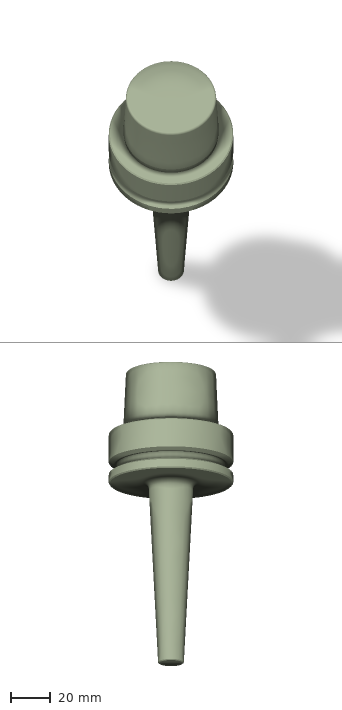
import cadquery as cq

length = 151.9

taper_top_radius = 22.8
taper_base_radius = 24.2
taper_length = 29.3
taper_edge_radius = 1.2
relief_radius = 23.8
relief_step = 0.3

flange_diameter = 63.0
flange_radius = flange_diameter / 2
flange_top = length - 31.9
flange_height = 26.0
flange_edge = 0.6
face_recess_radius = 26.6
face_recess_depth = 0.6
groove_radius = 27.6
groove_lip_radius = 28.9
groove_upper_edge = flange_top - 14.9
groove_lower_edge = flange_top - 21.4
groove_flank_height = 1.4

shank_root_radius = 11.2
shank_tip_radius = 6.5
shank_tip_edge = 0.5
root_fillet = 2.7

flange_bottom = flange_top - flange_height
taper_base = length - taper_length


def revolve_profile(points):
    """Turn a closed (radius, height) outline about the Z axis."""
    return cq.Workplane("XZ").polyline(points).close().revolve(360, (0, 0, 0), (0, 1, 0))


def make_taper():
    recess_floor = flange_top - face_recess_depth
    body = revolve_profile([
        (0, recess_floor),
        (relief_radius, recess_floor),
        (relief_radius, taper_base - relief_step),
        (taper_base_radius, taper_base),
        (taper_top_radius, length),
        (0, length),
    ])
    return body.faces(">Z").edges().fillet(taper_edge_radius)


def make_flange():
    return revolve_profile([
        (0, flange_bottom),
        (flange_radius - flange_edge, flange_bottom),
        (flange_radius, flange_bottom + flange_edge),
        (flange_radius, groove_lower_edge),
        (groove_lip_radius, groove_lower_edge + groove_flank_height),
        (groove_radius, groove_lower_edge + groove_flank_height),
        (groove_radius, groove_upper_edge - groove_flank_height),
        (groove_lip_radius, groove_upper_edge - groove_flank_height),
        (flange_radius, groove_upper_edge),
        (flange_radius, flange_top - flange_edge),
        (flange_radius - flange_edge, flange_top),
        (face_recess_radius, flange_top),
        (relief_radius, flange_top - face_recess_depth),
        (0, flange_top - face_recess_depth),
    ])


def make_shank():
    profile = (
        cq.Workplane("XZ")
        .lineTo(shank_tip_radius - shank_tip_edge, 0)
        .lineTo(shank_tip_radius, shank_tip_edge)
        .lineTo(shank_root_radius, flange_bottom - root_fillet)
        .radiusArc((shank_root_radius + root_fillet, flange_bottom), root_fillet)
        .lineTo(0, flange_bottom)
        .close()
    )
    return profile.revolve(360, (0, 0, 0), (0, 1, 0))


result = make_flange().union(make_taper()).union(make_shank())